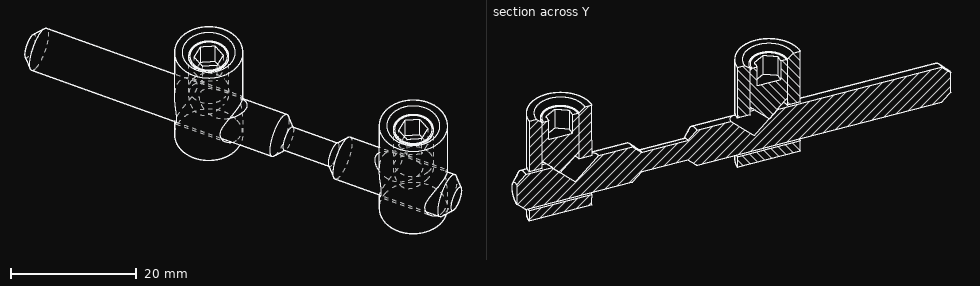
import cadquery as cq
import math

ROD_LENGTH = 75.0
ROD_DIAMETER = 7.1
NECK_DIAMETER = 4.0
NECK_LENGTH = 7.95
ROD_TAPER = (ROD_DIAMETER - NECK_DIAMETER) / 2

POST_DIAMETER = 10.9
POST_HEIGHT = 20.0
POST_BOTTOM = -6.0
POST_TOP = POST_BOTTOM + POST_HEIGHT
LEFT_POST_X = 31.4
POST_SPACING = 36.0
NECK_CENTER_X = LEFT_POST_X + POST_SPACING / 2
POST_BORE_DIAMETER = 7.7

SCREW_DIAMETER = 6.4
SCREW_CHAMFER = 0.2
HEX_ACROSS_FLATS = 4.05
HEX_DEPTH = 3.75
COUNTERSINK_DIAMETER = 8.4
COUNTERSINK_DEPTH = 0.9
SCREW_TOP = POST_TOP - COUNTERSINK_DEPTH

SEAT_DIAMETER = 8.0
SEAT_OFFSET = 2.55
SEAT_APEX_Z = (ROD_DIAMETER - SEAT_DIAMETER) / 2
SCREW_TIP_Z = SEAT_APEX_Z + SEAT_OFFSET

POST_PLACES = [(LEFT_POST_X, 1), (LEFT_POST_X + POST_SPACING, -1)]


def revolve_about_z(outline):
    """Revolve a closed (radius, height) outline about the Z axis."""
    return cq.Workplane("XZ").polyline(outline).close().revolve(360, (0, 0, 0), (0, 1, 0))


def make_seat(x):
    """Conical cutter, opening at the top of the rod."""
    radius = SEAT_DIAMETER / 2
    top = ROD_DIAMETER / 2
    return revolve_about_z([(0, SEAT_APEX_Z), (radius, top), (0, top)]).translate((x, 0, 0))


def make_rod():
    """Turned rod with tapered ends, a slim neck and two conical seats."""
    radius = ROD_DIAMETER / 2
    slim = NECK_DIAMETER / 2
    neck_start = NECK_CENTER_X - NECK_LENGTH / 2
    neck_end = NECK_CENTER_X + NECK_LENGTH / 2
    outline = [
        (0, 0),
        (0, slim),
        (ROD_TAPER, radius),
        (neck_start - ROD_TAPER, radius),
        (neck_start, slim),
        (neck_end, slim),
        (neck_end + ROD_TAPER, radius),
        (ROD_LENGTH - ROD_TAPER, radius),
        (ROD_LENGTH, slim),
        (ROD_LENGTH, 0),
    ]
    rod = cq.Workplane("XY").polyline(outline).close().revolve(360, (0, 0, 0), (1, 0, 0))
    for post_x, toward_neck in POST_PLACES:
        rod = rod.cut(make_seat(post_x + toward_neck * SEAT_OFFSET))
    return rod


def make_post(x):
    """Upright post with a cross bore for the rod and a countersunk screw hole."""
    post = cq.Workplane("XY", origin=(0, 0, POST_BOTTOM)).circle(POST_DIAMETER / 2).extrude(POST_HEIGHT)
    cross_bore = (
        cq.Workplane("YZ").circle(POST_BORE_DIAMETER / 2).extrude(POST_DIAMETER / 2, both=True)
    )
    hole_radius = SCREW_DIAMETER / 2
    screw_hole = revolve_about_z([
        (0, 0),
        (hole_radius, 0),
        (hole_radius, POST_TOP - COUNTERSINK_DEPTH),
        (COUNTERSINK_DIAMETER / 2, POST_TOP),
        (0, POST_TOP),
    ])
    return post.cut(cross_bore).cut(screw_hole).translate((x, 0, 0))


def make_screw(x):
    """Cone-point set screw with a hexagon socket."""
    radius = SCREW_DIAMETER / 2
    screw = revolve_about_z([
        (0, SCREW_TIP_Z),
        (radius, SCREW_TIP_Z + radius),
        (radius, SCREW_TOP - SCREW_CHAMFER),
        (radius - SCREW_CHAMFER, SCREW_TOP),
        (0, SCREW_TOP),
    ])
    hex_across_corners = HEX_ACROSS_FLATS / math.cos(math.pi / 6)
    socket = (
        cq.Workplane("XY", origin=(0, 0, SCREW_TOP))
        .transformed(rotate=(0, 0, 90))
        .polygon(6, hex_across_corners)
        .extrude(-HEX_DEPTH)
    )
    return screw.cut(socket).translate((x, 0, 0))


rod = make_rod()
posts = [make_post(post_x) for post_x, _ in POST_PLACES]
screws = [make_screw(post_x) for post_x, _ in POST_PLACES]

result = cq.Compound.makeCompound([
    rod.val(),
    *[post.val() for post in posts],
    *[screw.val() for screw in screws],
])